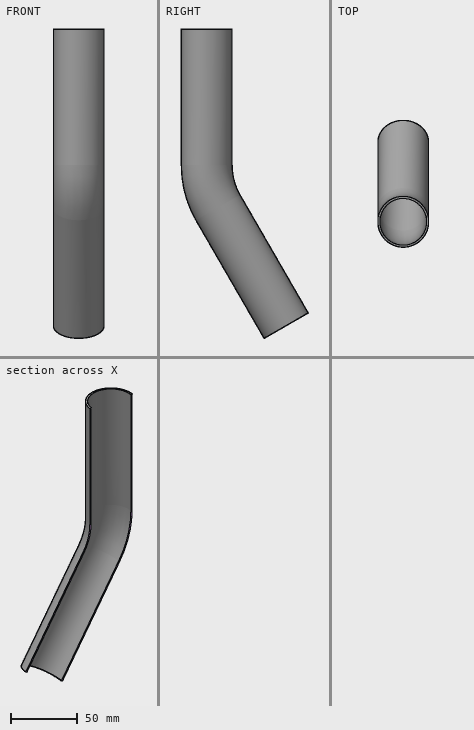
import cadquery as cq
import math

outer_diameter = 38.0
inner_diameter = 34.9
overall_height = 230.9
bend_radius = 63.5
bend_angle = 30.0

slope = math.radians(bend_angle)
bend_height = (bend_radius + outer_diameter / 2) * math.sin(slope)
leg_length = (overall_height - bend_height) / (1 + math.cos(slope))


def bend_point(angle_degrees):
    """Centreline (Y, Z) after turning by an angle; the bend starts at the origin."""
    angle = math.radians(angle_degrees)
    return (bend_radius * (1 - math.cos(angle)), -bend_radius * math.sin(angle))


bend_end = bend_point(bend_angle)
lower_end = (
    bend_end[0] + leg_length * math.sin(slope),
    bend_end[1] - leg_length * math.cos(slope),
)
centreline = (
    cq.Workplane("YZ")
    .moveTo(0, leg_length)
    .lineTo(0, 0)
    .threePointArc(bend_point(bend_angle / 2), bend_end)
    .lineTo(*lower_end)
)

result = (
    cq.Workplane("XY")
    .workplane(offset=leg_length)
    .circle(outer_diameter / 2)
    .circle(inner_diameter / 2)
    .sweep(centreline)
)